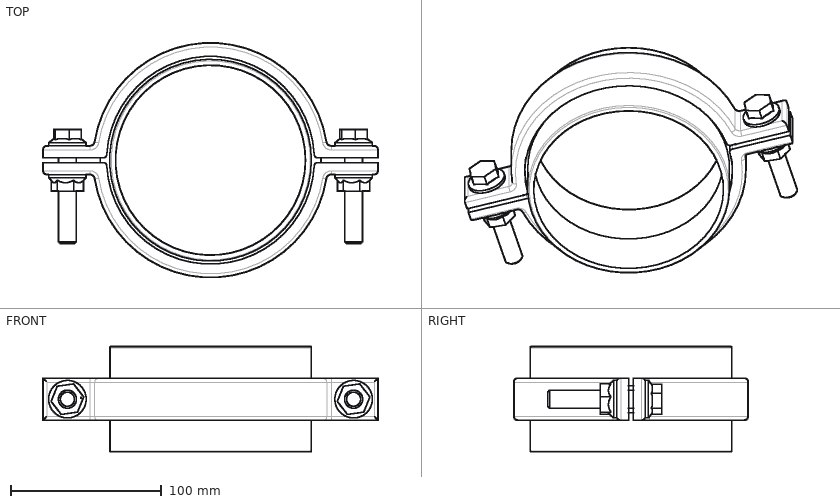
import cadquery as cq
import math

overall_length = 222.5

pipe_outer_radius = 67.0
pipe_inner_radius = 63.0
pipes_length = 70.0
pipe_end_fillet = 1.0
collar_radius = 73.5
collars_height = 18.0

clamp_height = 28.0
clamp_outer_diameter = 156.0
clamp_bore_radius = 69.0
clamp_gap = 3.1
ear_thickness = 8.0
outer_edge_fillet = 2.7
ear_root_fillet = 3.1
bore_corner_fillet = 2.2

bolt_offset = 95.0
shank_diameter = 12.0
shank_end = -55.5
shank_chamfer = 1.3

fastener_height = 11.0
flange_diameter = 25.0
flange_rim_height = 2.0
head_across_flats = 17.4
head_cone_height = 2.7
head_cone_top_radius = 9.1
head_turn = 37.0
nut_across_flats = 19.0
nut_cone_height = 3.5
nut_cone_top_radius = 9.3
nut_turn = 8.0

pipe_length = pipes_length / 2
collar_height = collars_height / 2
clamp_outer_radius = clamp_outer_diameter / 2
gap_face_y = clamp_gap / 2
ear_face_y = gap_face_y + ear_thickness
ear_middle_y = gap_face_y + ear_thickness / 2
shank_radius = shank_diameter / 2


def make_upper_pipe():
    """Pipe stub above Z = 0 with a collar at its lower end."""
    pipe = cq.Workplane("XY").circle(pipe_outer_radius).extrude(pipe_length)
    pipe = pipe.faces(">Z").edges().fillet(pipe_end_fillet)
    collar = cq.Workplane("XY").circle(collar_radius).extrude(collar_height)
    bore = cq.Workplane("XY").circle(pipe_inner_radius).extrude(pipe_length)
    return pipe.union(collar).cut(bore)


def vertical_edges_near(body, x, y):
    """Select the Z-parallel edges of body at (x, y) and (-x, y)."""
    reach = 0.2
    right = cq.selectors.BoxSelector(
        (x - reach, y - reach, -clamp_height), (x + reach, y + reach, clamp_height)
    )
    left = cq.selectors.BoxSelector(
        (-x - reach, y - reach, -clamp_height), (-x + reach, y + reach, clamp_height)
    )
    return body.edges("|Z").edges(right + left)


def make_rear_clamp():
    """Clamp half on the +Y side: half ring with two bolted ears and a collar groove."""
    ring = cq.Workplane("XY").circle(clamp_outer_radius).extrude(clamp_height / 2, both=True)
    front_side = cq.Workplane("XY").box(2 * overall_length, overall_length, 2 * clamp_height)
    front_side = front_side.translate((0, gap_face_y - overall_length / 2, 0))
    ears = cq.Workplane("XY").box(overall_length, ear_thickness, clamp_height)
    ears = ears.translate((0, ear_middle_y, 0))
    clamp = ring.cut(front_side).union(ears)

    root_x = math.sqrt(clamp_outer_radius**2 - ear_face_y**2)
    clamp = vertical_edges_near(clamp, root_x, ear_face_y).fillet(ear_root_fillet)

    behind_gap = cq.selectors.BoxSelector(
        (-overall_length, ear_face_y - outer_edge_fillet, -clamp_height),
        (overall_length, overall_length, clamp_height),
    )
    rims = clamp.faces("<Z or >Z").edges(behind_gap)
    ear_tips = vertical_edges_near(clamp, overall_length / 2, ear_face_y)
    clamp = clamp.newObject(rims.vals() + ear_tips.vals()).fillet(outer_edge_fillet)

    bore = cq.Workplane("XY").circle(clamp_bore_radius).extrude(clamp_height / 2, both=True)
    clamp = clamp.cut(bore)
    corner_x = math.sqrt(clamp_bore_radius**2 - gap_face_y**2)
    clamp = vertical_edges_near(clamp, corner_x, gap_face_y).fillet(bore_corner_fillet)

    groove = cq.Workplane("XY").circle(collar_radius).extrude(collar_height, both=True)
    bolt_holes = (
        cq.Workplane("XZ")
        .pushPoints([(-bolt_offset, 0), (bolt_offset, 0)])
        .circle(shank_radius)
        .extrude(-2 * ear_face_y)
    )
    return clamp.cut(groove).cut(bolt_holes)


def make_flanged_hex(across_flats, cone_height, cone_top_radius, turn):
    """Hexagon on a conical flange, standing on the XY plane along +Z."""
    flange_radius = flange_diameter / 2
    cone_top = flange_rim_height + cone_height
    flange = (
        cq.Workplane("XZ")
        .polyline([
            (0, 0),
            (flange_radius, 0),
            (flange_radius, flange_rim_height),
            (cone_top_radius, cone_top),
            (0, cone_top),
        ])
        .close()
        .revolve(360, (0, 0), (0, 1))
    )
    across_corners = across_flats / math.cos(math.radians(30))
    hexagon = cq.Workplane("XY").polygon(6, across_corners).extrude(fastener_height)
    return flange.union(hexagon.rotate((0, 0, 0), (0, 0, 1), turn))


def make_bolt(x):
    """Flange bolt along Y with its head on the rear ear."""
    head = make_flanged_hex(head_across_flats, head_cone_height, head_cone_top_radius, head_turn)
    head = head.rotate((0, 0, 0), (1, 0, 0), -90).translate((0, ear_face_y, 0))
    shank = cq.Workplane("XZ", origin=(0, ear_face_y, 0)).circle(shank_radius)
    shank = shank.extrude(ear_face_y - shank_end).faces("<Y").chamfer(shank_chamfer)
    return head.union(shank).translate((x, 0, 0))


def make_nut(x):
    """Flange nut on the front ear, around the bolt shank."""
    nut = make_flanged_hex(nut_across_flats, nut_cone_height, nut_cone_top_radius, nut_turn)
    nut = nut.cut(cq.Workplane("XY").circle(shank_radius).extrude(fastener_height))
    return nut.rotate((0, 0, 0), (1, 0, 0), 90).translate((x, -ear_face_y, 0))


upper_pipe = make_upper_pipe()
lower_pipe = upper_pipe.mirror("XY")
rear_clamp = make_rear_clamp()
front_clamp = rear_clamp.mirror("XZ")

fasteners = []
for bolt_x in (-bolt_offset, bolt_offset):
    fasteners.append(make_bolt(bolt_x).val())
    fasteners.append(make_nut(bolt_x).val())

result = cq.Compound.makeCompound([
    upper_pipe.val(),
    lower_pipe.val(),
    rear_clamp.val(),
    front_clamp.val(),
    *fasteners,
])